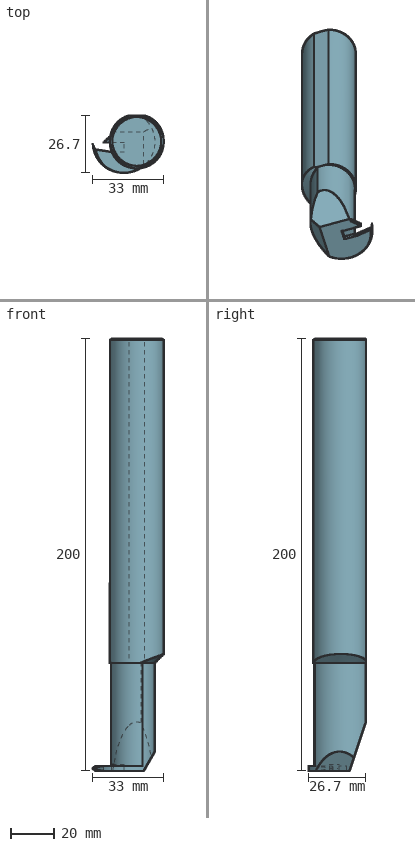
import cadquery as cq
import math

length = 200.0
shank_radius = 12.5
flat_y = 12.0
end_chamfer_radial = 1.2
end_chamfer_height = 0.8

neck_length = 50.0
neck_radius = 12.0
swing_x = -6.0
swing_y = -0.2
swing_radius = 14.5

back_relief_y = 4.5
back_relief_angle = 71.5
side_relief_x = 3.2
side_relief_angle = 60.0

blade_thickness = 2.5
edge_depth = blade_thickness / 2
edge_shift_x = 1.2
edge_shift_y = -1.0

gap_height = 3.0
gap_inner_x = -6.0
nose_y = -0.5
nose_tip_x = -15.5
nose_root = (-10.5, 4.2)
rake_tip = (-20.5, -1.2)
rake_corner = (-19.5, -3.5)
rake_root = (-12.0, -4.8)

margin = 2.0


def cylinder(x, y, z, radius, height):
    return cq.Workplane("XY", origin=(x, y, z)).circle(radius).extrude(height)


def cone(x, y, z, bottom_radius, top_radius, height):
    solid = cq.Solid.makeCone(bottom_radius, top_radius, height, pnt=cq.Vector(x, y, z))
    return cq.Workplane(obj=solid)


def make_shank():
    body_length = length - neck_length - end_chamfer_height
    body = cylinder(0, 0, neck_length, shank_radius, body_length)
    top = cone(
        0, 0, length - end_chamfer_height,
        shank_radius, shank_radius - end_chamfer_radial, end_chamfer_height,
    )
    shoulder_height = 2 * shank_radius
    shoulder = cone(
        swing_x, swing_y, neck_length,
        swing_radius, swing_radius + shoulder_height, shoulder_height,
    )
    above = cylinder(0, 0, neck_length + shoulder_height, 2 * shank_radius, length)
    shank = body.intersect(shoulder.union(above)).union(top)
    beyond_flat = cq.Workplane("XY", origin=(0, flat_y, 0)).box(
        2 * shank_radius, shank_radius, length + margin, centered=(True, False, False)
    )
    return shank.cut(beyond_flat)


def make_neck():
    swing = cylinder(swing_x, swing_y, 0, swing_radius, neck_length)
    return cylinder(0, 0, 0, neck_radius, neck_length).intersect(swing)


def make_blade():
    """Part of the swing disc in front of the nose, trimmed by a double cone to a V edge."""
    disc = cylinder(swing_x, swing_y, 0, swing_radius, blade_thickness)
    edge_x = swing_x + edge_shift_x
    edge_y = swing_y + edge_shift_y
    crest_radius = swing_radius + edge_depth
    lower = cone(edge_x, edge_y, 0, swing_radius, crest_radius, edge_depth)
    upper = cone(edge_x, edge_y, edge_depth, crest_radius, swing_radius, edge_depth)
    behind = cq.Workplane("XY", origin=(swing_x, nose_y, 0)).box(
        4 * swing_radius, 2 * swing_radius, blade_thickness, centered=(True, False, False)
    )
    return disc.intersect(lower.union(upper)).cut(behind)


def make_nose():
    outline = [(nose_tip_x, nose_y), nose_root, (0, nose_root[1]), (0, nose_y)]
    return cq.Workplane("XY").polyline(outline).close().extrude(blade_thickness)


def make_chip_gap():
    clear_x = rake_tip[0] - margin
    outline = [
        (clear_x, nose_y),
        (clear_x, rake_tip[1]),
        rake_tip,
        rake_corner,
        rake_root,
        (gap_inner_x, rake_root[1]),
        (gap_inner_x, nose_y),
    ]
    return cq.Workplane("XY").polyline(outline).close().extrude(gap_height)


def make_relief(plane, start, angle):
    """Wedge outside a plane that rises from the bottom face at `start` along the first axis."""
    reach = 2 * shank_radius
    rise = reach * math.tan(math.radians(angle))
    wedge = cq.Workplane(plane).polyline([(start, 0), (start + reach, 0), (start + reach, rise)])
    return wedge.close().extrude(2 * shank_radius, both=True)


result = make_shank().union(make_neck()).union(make_blade()).union(make_nose())
result = result.cut(make_chip_gap())
result = result.cut(make_relief("YZ", back_relief_y, back_relief_angle))
result = result.cut(make_relief("XZ", side_relief_x, side_relief_angle))